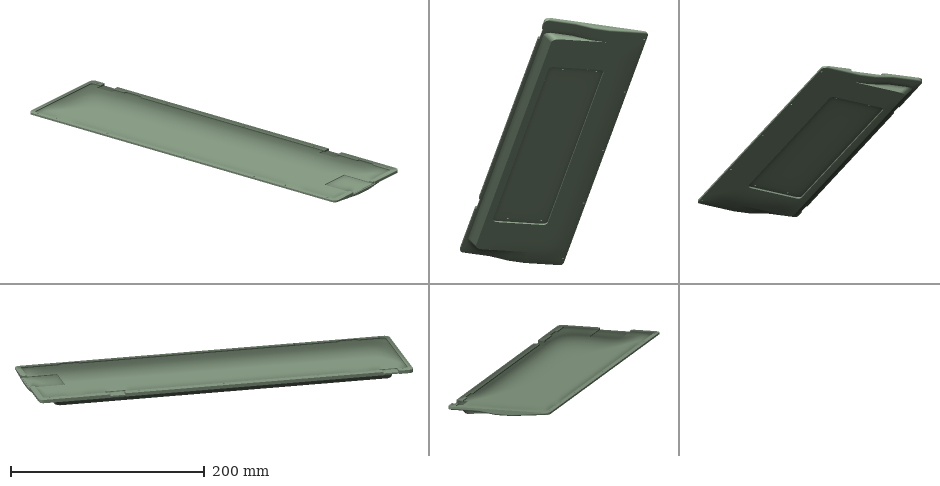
import cadquery as cq
import math

LENGTH = 398.5
WIDTH = 109.5
HEIGHT = 11.5
CORNER_RADIUS = 5.5

FRONT_THICKNESS = 2.0
HEEL_Y = 97.5
BACK_THICKNESS = 3.5
SLOPE = (HEIGHT - FRONT_THICKNESS) / HEEL_Y
SLOPE_STRETCH = math.hypot(1, SLOPE)
WEDGE_INSET = 19.5
WEDGE_EDGE_RADIUS = 6.0

FLANGE_LOW_Y = (40.5, 57.8)
FLANGE_RISE_END_Y = 76.5
FLANGE_EDGE_RADIUS = 1.5

FLOOR_DEPTH = 1.0
RIM_LEFT = 4.5
RIM_RIGHT = 6.0
RIM_FRONT = 4.8
RIM_BACK = 7.0
TRAY_CORNER_RADIUS = 2.8

FRONT_RELIEFS = [(34.0, 55.5), (330.5, 351.0)]
FRONT_RELIEF_RIM = 2.5
BACK_RELIEFS = [(46.5, 68.5), (348.3, 370.0)]
BACK_RELIEF_RIM = 4.8
BACK_RELIEF_TAPER = 1.5

BACK_OPENINGS = [
    ((16.0, 32.5), (15.0, 34.3), 12.0),
    ((306.5, 323.0), (304.0, 325.5), 13.0),
]
OPENING_SETBACK = 1.0
PAD_DEPTH = 2.0

SIDE_RECESS_X = 360.2
SIDE_RECESS_Y = (31.5, 65.0)
SIDE_RECESS_DEPTH = 2.0
SIDE_NOTCH_Y = (30.3, 67.5)
SIDE_NOTCH_INSET = 1.0
SIDE_NOTCH_DEPTH = 2.5

SCREW_XS = [10.8, 101.0, 201.0, 291.0, 386.0]
FRONT_SCREW_Y = 2.6
FRONT_SCREW_DIAMETER = 2.0
BACK_SCREW_Y = WIDTH - 5.5
BACK_SCREW_DIAMETER = 1.75
BACK_SCREW_DEPTH = 3.0

FOOT_X = (66.5, 332.0)
FOOT_Y = (32.0, 90.0)
FOOT_DEPTH = 1.5
FOOT_CORNER_RADIUS = 4.8
FIXING_XS = [71.7, LENGTH - 71.7]
FIXING_YS = [39.0, 74.5]
FIXING_DIAMETER = 2.0
FIXING_DEPTH = 2.5


def underside_z(y):
    return -FRONT_THICKNESS - SLOPE * y


def box(x_range, y_range, z_range):
    """Box between the two limits on each axis."""
    (x0, x1), (y0, y1), (z0, z1) = x_range, y_range, z_range
    return cq.Workplane("XY").box(x1 - x0, y1 - y0, z1 - z0, centered=False).translate((x0, y0, z0))


def extrude_profile(points, x0, x1):
    """Extrude a (y, z) outline along X."""
    return cq.Workplane("YZ").polyline(points).close().extrude(x1 - x0).translate((x0, 0, 0))


def flange_plate():
    """Full-length plate with the shallow section of the ends and rounded lower end edges."""
    flange_low_z = underside_z(FLANGE_LOW_Y[0])
    points = [
        (0, 0),
        (0, -FRONT_THICKNESS),
        (FLANGE_LOW_Y[0], flange_low_z),
        (FLANGE_LOW_Y[1], flange_low_z),
        (FLANGE_RISE_END_Y, -BACK_THICKNESS),
        (WIDTH, -BACK_THICKNESS),
        (WIDTH, 0),
    ]
    plate = extrude_profile(points, 0, LENGTH)
    end_edges = plate.faces("<X or >X").edges("not (|Z or >Z)")
    plate = end_edges.fillet(FLANGE_EDGE_RADIUS)
    plan = box((0, LENGTH), (0, WIDTH), (-HEIGHT, 0)).edges("|Z").fillet(CORNER_RADIUS)
    return plate.intersect(plan)


def deep_wedge():
    """Wedge with a steep back face whose end edges are rounded."""
    points = [(0, 0), (0, -FRONT_THICKNESS), (HEEL_Y, -HEIGHT), (WIDTH, 0)]
    wedge = extrude_profile(points, WEDGE_INSET, LENGTH - WEDGE_INSET)
    back_end_edges = wedge.faces(">Y").edges("not |X")
    return back_end_edges.fillet(WEDGE_EDGE_RADIUS)


def tray():
    """Cutter for the floor pocket, with its widenings into the rim."""
    floor_z = (-FLOOR_DEPTH, 0)
    back_y = WIDTH - RIM_BACK
    cutter = box((RIM_LEFT, LENGTH - RIM_RIGHT), (RIM_FRONT, back_y), floor_z)
    cutter = cutter.edges("|Z and <X").fillet(TRAY_CORNER_RADIUS)
    for x_range in FRONT_RELIEFS:
        cutter = cutter.union(box(x_range, (FRONT_RELIEF_RIM, RIM_FRONT), floor_z))
    for x0, x1 in BACK_RELIEFS:
        points = [
            (x0, back_y),
            (x0 + BACK_RELIEF_TAPER, WIDTH - BACK_RELIEF_RIM),
            (x1 - BACK_RELIEF_TAPER, WIDTH - BACK_RELIEF_RIM),
            (x1, back_y),
        ]
        cutter = cutter.union(cq.Workplane("XY").polyline(points).close().extrude(-FLOOR_DEPTH))
    return cutter


def cut_back_openings(body):
    for opening_x, pad_x, pad_reach in BACK_OPENINGS:
        body = body.cut(box(pad_x, (WIDTH - pad_reach, WIDTH - RIM_BACK), (-PAD_DEPTH, 0)))
        body = body.cut(box(opening_x, (WIDTH - RIM_BACK, WIDTH), (-PAD_DEPTH, 0)))
        body = body.cut(box(opening_x, (WIDTH - OPENING_SETBACK, WIDTH), (-HEIGHT, 0)))
    return body


def cut_side_recess(body):
    body = body.cut(box((SIDE_RECESS_X, LENGTH), SIDE_RECESS_Y, (-SIDE_RECESS_DEPTH, 0)))
    return body.cut(box((LENGTH - SIDE_NOTCH_INSET, LENGTH), SIDE_NOTCH_Y, (-SIDE_NOTCH_DEPTH, 0)))


def screw_holes(y, diameter, depth):
    points = [(x, y) for x in SCREW_XS]
    return cq.Workplane("XY").pushPoints(points).circle(diameter / 2).extrude(-depth)


def foot_recess():
    """Cutter square to the sloping underside; its local Y follows the slope from the front edge."""
    plane = cq.Plane(origin=(0, 0, -FRONT_THICKNESS), xDir=(1, 0, 0), normal=(0, SLOPE, 1))
    (x0, x1), (y0, y1) = FOOT_X, FOOT_Y
    recess = (
        cq.Workplane(plane)
        .center((x0 + x1) / 2, (y0 + y1) / 2 * SLOPE_STRETCH)
        .rect(x1 - x0, (y1 - y0) * SLOPE_STRETCH)
        .extrude(FOOT_DEPTH)
        .edges(cq.selectors.ParallelDirSelector(plane.zDir))
        .fillet(FOOT_CORNER_RADIUS)
    )
    points = [(x, y * SLOPE_STRETCH) for x in FIXING_XS for y in FIXING_YS]
    holes = cq.Workplane(plane).pushPoints(points).circle(FIXING_DIAMETER / 2)
    return recess.union(holes.extrude(FOOT_DEPTH + FIXING_DEPTH))


body = flange_plate().union(deep_wedge())
body = body.cut(tray())
body = cut_back_openings(body)
body = cut_side_recess(body)
body = body.cut(screw_holes(FRONT_SCREW_Y, FRONT_SCREW_DIAMETER, HEIGHT))
body = body.cut(screw_holes(BACK_SCREW_Y, BACK_SCREW_DIAMETER, BACK_SCREW_DEPTH))
result = body.cut(foot_recess())